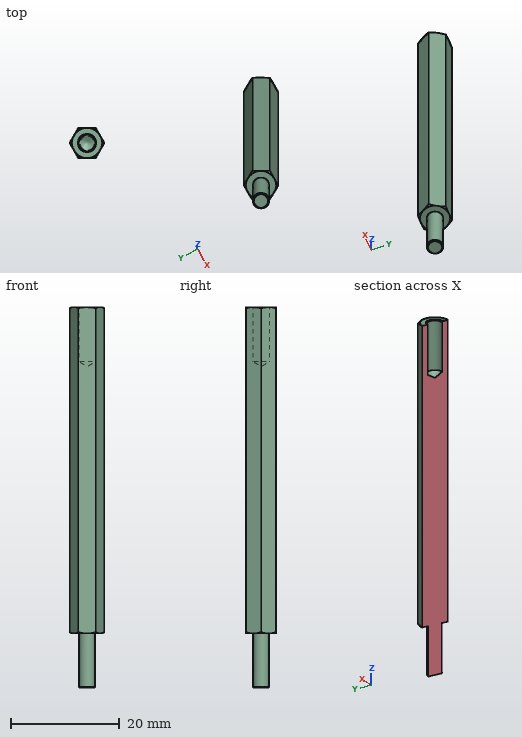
import cadquery as cq
import math

total_length = 70.0
stud_length = 10.0
across_flats = 5.5
thread_diameter = 3.0
stud_chamfer = 0.2
bore_chamfer = 0.175
corner_chamfer_angle = 30.0
bore_depth = 10.0
drill_tip_angle = 118.0

body_length = total_length - stud_length
across_corners = across_flats / math.cos(math.radians(30))
corner_radius = across_corners / 2
end_face_radius = across_flats / 2
thread_radius = thread_diameter / 2
corner_drop = (corner_radius - end_face_radius) * math.tan(math.radians(corner_chamfer_angle))
drill_tip_depth = thread_radius / math.tan(math.radians(drill_tip_angle / 2))


def revolve_about_z(points):
    """Revolve a closed (radius, height) profile around the Z axis."""
    return cq.Workplane("XZ").polyline(points).close().revolve(360, (0, 0, 0), (0, 1, 0))


def hex_body():
    """Hexagonal bar with corners on the X axis and conically chamfered ends."""
    prism = cq.Workplane("XY").polygon(6, across_corners).extrude(body_length)
    chamfer_envelope = revolve_about_z([
        (0, 0),
        (end_face_radius, 0),
        (corner_radius, corner_drop),
        (corner_radius, body_length - corner_drop),
        (end_face_radius, body_length),
        (0, body_length),
    ])
    return prism.intersect(chamfer_envelope)


def stud():
    """Round stud below the body, chamfered at its free end."""
    return (
        cq.Workplane("XY")
        .circle(thread_radius)
        .extrude(-stud_length)
        .faces("<Z")
        .chamfer(stud_chamfer)
    )


def blind_hole():
    """Drilled hole in the top face, with a chamfered mouth and a conical tip."""
    bore_bottom = body_length - bore_depth
    return revolve_about_z([
        (0, body_length),
        (thread_radius + bore_chamfer, body_length),
        (thread_radius, body_length - bore_chamfer),
        (thread_radius, bore_bottom),
        (0, bore_bottom - drill_tip_depth),
    ])


result = hex_body().union(stud()).cut(blind_hole())